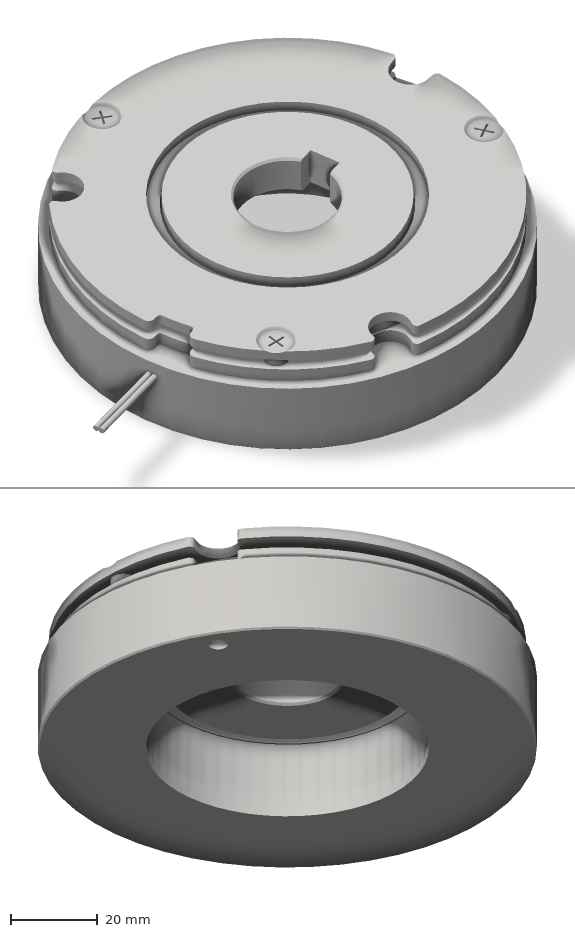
import cadquery as cq
import math


HOUSING_TOP = 18.8
AIR_GAP = 0.3
ARMATURE_BOTTOM = HOUSING_TOP + AIR_GAP
ARMATURE_TOP = 22.5
DISC_TOP = 25.5
OVERALL_HEIGHT = 28.0
HUB_BOTTOM = 18.3

HOUSING_RADIUS = 57.5
HOUSING_BORE_RADIUS = 32.6
HOUSING_CHAMFER = 0.4
PIN_HOLE_RADIUS = 2.2

WIRE_RADIUS = 0.74
WIRE_OFFSET = 0.75
OVERALL_LENGTH = 137.5
WIRE_END = OVERALL_LENGTH - HOUSING_RADIUS
WIRE_ROOT = 56.4
WIRE_HEIGHT = 14.8

PLATE_RADIUS = 55.0
PLATE_BORE_RADIUS = 32.6
NOTCH_CENTER_RADIUS = 52.0
NOTCH_RADIUS = 5.1
PIN_NOTCH_ANGLE = 90
ROUND_NOTCH_ANGLES = (210, 330)
MOUTH_TAPER = 5
OVERCUT = 1.4
NOTCH_EDGE_FILLET = 1.2
RELEASE_FLOOR_WIDTH = 9.4
RELEASE_CUT_FLOOR = 51.3
RELEASE_CUT_ANGLE = 273
RELEASE_INNER_FILLET = 0.8
RELEASE_EDGE_FILLET = 1.6

DISC_RADIUS = 46.8
DISC_BORE_RADIUS = 29.4

HUB_RADIUS = 29.0
BORE_RADIUS = 12.5
BORE_CHAMFER = 0.5
KEYWAY_WIDTH = 8.0
KEYWAY_TOP = 16.0

SCREW_CIRCLE_RADIUS = 50.9
SCREW_ANGLES = (60, 180, 300)
SHANK_RADIUS = 3.0
COUNTERSINK_RADIUS = 4.7
HEAD_RADIUS = 4.1
HEAD_TOP = OVERALL_HEIGHT - (COUNTERSINK_RADIUS - HEAD_RADIUS)
CROSS_LENGTH = 4.8
CROSS_WIDTH = 0.5
CROSS_DEPTH = 0.8
CROSS_TURN = 45


def cylinder(radius, bottom, top):
    return cq.Workplane("XY").workplane(offset=bottom).circle(radius).extrude(top - bottom)


def ring(outer_radius, inner_radius, bottom, top):
    return cylinder(outer_radius, bottom, top).cut(cylinder(inner_radius, bottom, top))


def turned_about_axis(shape, angle):
    return shape.rotate((0, 0, 0), (0, 0, 1), angle)


def make_housing():
    """Ring-shaped coil housing with one pin hole and its two lead wires."""
    housing = cylinder(HOUSING_RADIUS, 0, HOUSING_TOP).faces("<Z").chamfer(HOUSING_CHAMFER)
    housing = housing.cut(cylinder(HOUSING_BORE_RADIUS, 0, HOUSING_TOP))
    pin_hole = cylinder(PIN_HOLE_RADIUS, 0, HOUSING_TOP).translate((0, NOTCH_CENTER_RADIUS, 0))
    housing = housing.cut(pin_hole)
    for side in (-1, 1):
        wire = (
            cq.Workplane("XZ", origin=(side * WIRE_OFFSET, -WIRE_ROOT, WIRE_HEIGHT))
            .circle(WIRE_RADIUS)
            .extrude(WIRE_END - WIRE_ROOT)
        )
        housing = housing.union(wire)
    return housing


def tapered_mouth(inner_radius, inner_half_width, bottom, top):
    """Wedge centred on +X that widens from inner_radius out past the plate rim."""
    length = PLATE_RADIUS + OVERCUT - inner_radius
    outer_half_width = inner_half_width + length * math.tan(math.radians(MOUTH_TAPER))
    outline = [
        (inner_radius, -inner_half_width),
        (inner_radius + length, -outer_half_width),
        (inner_radius + length, outer_half_width),
        (inner_radius, inner_half_width),
    ]
    return cq.Workplane("XY").workplane(offset=bottom).polyline(outline).close().extrude(top - bottom)


def round_notch(bottom, top):
    """Round bite through the rim, centred on +X."""
    return cylinder(NOTCH_RADIUS, bottom, top).translate((NOTCH_CENTER_RADIUS, 0, 0))


def pin_notch(bottom, top):
    """Round-bottomed notch with sides that flare outward, centred on +X."""
    mouth = tapered_mouth(NOTCH_CENTER_RADIUS, NOTCH_RADIUS, bottom, top)
    return round_notch(bottom, top).union(mouth)


def release_cut(bottom, top):
    """Shallow flared rim cut with a floor concentric with the plate, centred on +X."""
    start_radius = RELEASE_CUT_FLOOR - OVERCUT
    start_half_width = RELEASE_FLOOR_WIDTH / 2 - OVERCUT * math.tan(math.radians(MOUTH_TAPER))
    wedge = tapered_mouth(start_radius, start_half_width, bottom, top)
    return wedge.cut(cylinder(RELEASE_CUT_FLOOR, bottom, top))


def fillet_opening(plate, rim_radius, half_width, angle, middle, fillet):
    """Round the two upright edges where an opening's sides meet a given radius."""
    half_angle = math.degrees(math.asin(half_width / rim_radius))
    for side in (-1, 1):
        direction = math.radians(angle + side * half_angle)
        corner = (rim_radius * math.cos(direction), rim_radius * math.sin(direction), middle)
        plate = plate.edges(cq.selectors.NearestToPointSelector(corner)).fillet(fillet)
    return plate


def make_plate(bottom, top):
    """Flat ring with three rim notches, a release cut and holes for the screw shanks."""
    plate = ring(PLATE_RADIUS, PLATE_BORE_RADIUS, bottom, top)
    middle = (bottom + top) / 2
    plate = plate.cut(turned_about_axis(pin_notch(bottom, top), PIN_NOTCH_ANGLE))
    plate = fillet_opening(plate, PLATE_RADIUS, NOTCH_RADIUS, PIN_NOTCH_ANGLE, middle, NOTCH_EDGE_FILLET)
    for angle in ROUND_NOTCH_ANGLES:
        plate = plate.cut(turned_about_axis(round_notch(bottom, top), angle))
        plate = fillet_opening(plate, PLATE_RADIUS, NOTCH_RADIUS, angle, middle, NOTCH_EDGE_FILLET)

    half_floor = RELEASE_FLOOR_WIDTH / 2
    plate = plate.cut(turned_about_axis(release_cut(bottom, top), RELEASE_CUT_ANGLE))
    for radius, fillet in ((PLATE_RADIUS, RELEASE_EDGE_FILLET), (RELEASE_CUT_FLOOR, RELEASE_INNER_FILLET)):
        plate = fillet_opening(plate, radius, half_floor, RELEASE_CUT_ANGLE, middle, fillet)

    for angle in SCREW_ANGLES:
        shank_hole = cylinder(SHANK_RADIUS, bottom, top).translate((SCREW_CIRCLE_RADIUS, 0, 0))
        plate = plate.cut(turned_about_axis(shank_hole, angle))
    return plate


def make_cover():
    """Top plate: the shared plate outline with a 90 degree countersink at each screw."""
    cover = make_plate(DISC_TOP, OVERALL_HEIGHT)
    for angle in SCREW_ANGLES:
        cone = head_cone(COUNTERSINK_RADIUS, OVERALL_HEIGHT).translate((SCREW_CIRCLE_RADIUS, 0, 0))
        cover = cover.cut(turned_about_axis(cone, angle))
    return cover


def make_disc():
    return ring(DISC_RADIUS, DISC_BORE_RADIUS, ARMATURE_TOP, DISC_TOP)


def make_hub():
    """Hub with a chamfered bore and a keyway on its +Y side."""
    hub = ring(HUB_RADIUS, BORE_RADIUS, HUB_BOTTOM, OVERALL_HEIGHT)
    hub = hub.edges(cq.selectors.RadiusNthSelector(0)).edges("%CIRCLE").chamfer(BORE_CHAMFER)
    keyway = (
        cq.Workplane("XY", origin=(0, KEYWAY_TOP / 2, HUB_BOTTOM))
        .rect(KEYWAY_WIDTH, KEYWAY_TOP)
        .extrude(OVERALL_HEIGHT - HUB_BOTTOM)
    )
    return hub.cut(keyway)


def head_cone(top_radius, top):
    """Cone on the Z axis narrowing at 45 degrees down to the shank radius."""
    depth = top_radius - SHANK_RADIUS
    profile = [(0, top - depth), (SHANK_RADIUS, top - depth), (top_radius, top), (0, top)]
    return cq.Workplane("XZ").polyline(profile).close().revolve(360, (0, 0, 0), (0, 1, 0))


def make_screw(angle):
    """Countersunk screw whose shank passes through the armature and seats on the housing."""
    screw = cylinder(SHANK_RADIUS, HOUSING_TOP, HEAD_TOP).union(head_cone(HEAD_RADIUS, HEAD_TOP))
    for turn in (CROSS_TURN, CROSS_TURN + 90):
        slot = (
            cq.Workplane("XY", origin=(0, 0, HEAD_TOP - CROSS_DEPTH))
            .rect(CROSS_LENGTH, CROSS_WIDTH)
            .extrude(CROSS_DEPTH)
        )
        screw = screw.cut(turned_about_axis(slot, turn))
    return turned_about_axis(screw.translate((SCREW_CIRCLE_RADIUS, 0, 0)), angle)


housing = make_housing()
armature = make_plate(ARMATURE_BOTTOM, ARMATURE_TOP)
disc = make_disc()
cover = make_cover()
hub = make_hub()
screws = [make_screw(angle) for angle in SCREW_ANGLES]

result = cq.Compound.makeCompound(
    [housing.val(), armature.val(), disc.val(), cover.val(), hub.val()]
    + [screw.val() for screw in screws]
)